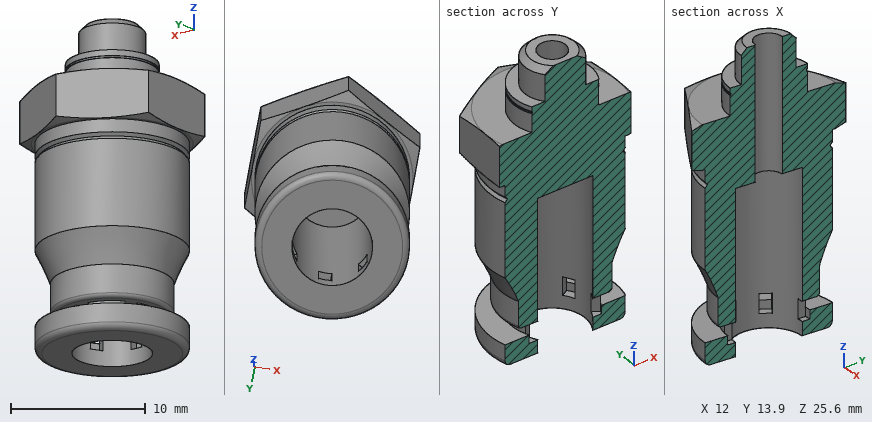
import cadquery as cq
import math

hex_flats = 12.0
hex_corner_radius = hex_flats / math.sqrt(3)
hex_bottom = 16.45
hex_top = 20.33
hex_corner_drop = 0.28

overall_height = 25.6
thread_radius = 5.0 / 2
thread_chamfer = 0.5
thread_bottom = 22.65
seat_radius = 7.0 / 2
seat_groove_bottom = 22.05
seat_groove_top = 22.2
seat_groove_depth = 0.05

body_radius = 11.5 / 2
v_groove_middle = 15.18
v_groove_half_width = 0.25
v_groove_depth = 0.2
taper_top = 8.06
taper_bottom = 5.45
taper_hollow = 0.065
neck_radius = 9.2 / 2
neck_bottom = 2.9
neck_edge = 0.3

flange_radius = body_radius
flange_top = 2.0
flange_fillet = 0.5
collar_radius = 7.37 / 2
slot_count = 6
slot_width = 1.0
slot_floor = flange_top - 0.77

bore_radius = 2.4 / 2
socket_radius = 6.0 / 2
socket_top = 14.08


def cylinder(radius, bottom, top):
    return cq.Workplane("XY").workplane(offset=bottom).circle(radius).extrude(top - bottom)


def make_stem():
    thread = cylinder(thread_radius, thread_bottom, overall_height).faces(">Z").chamfer(thread_chamfer)
    seat = cylinder(seat_radius, hex_top, thread_bottom)
    groove = cylinder(seat_radius, seat_groove_bottom, seat_groove_top).cut(
        cylinder(seat_radius - seat_groove_depth, seat_groove_bottom, seat_groove_top)
    )
    return seat.cut(groove).union(thread)


def make_hexagon():
    """Hexagon with flats facing X and conical chamfers on both ends."""
    prism = (
        cq.Workplane("XY")
        .workplane(offset=hex_bottom)
        .polygon(6, 2 * hex_corner_radius)
        .extrude(hex_top - hex_bottom)
        .rotate((0, 0, 0), (0, 0, 1), 30)
    )
    chamfer_envelope = (
        cq.Workplane("XZ")
        .moveTo(0, hex_bottom)
        .lineTo(hex_flats / 2, hex_bottom)
        .lineTo(hex_corner_radius, hex_bottom + hex_corner_drop)
        .lineTo(hex_corner_radius, hex_top - hex_corner_drop)
        .lineTo(hex_flats / 2, hex_top)
        .lineTo(0, hex_top)
        .close()
        .revolve(360, (0, 0, 0), (0, 1, 0))
    )
    return prism.intersect(chamfer_envelope)


def make_body():
    """Turned body with a V groove, a slightly hollow taper and a neck."""
    taper_mid_radius = (body_radius + neck_radius) / 2 - taper_hollow
    taper_mid_height = (taper_top + taper_bottom) / 2
    return (
        cq.Workplane("XZ")
        .moveTo(0, neck_bottom)
        .lineTo(neck_radius - neck_edge, neck_bottom)
        .radiusArc((neck_radius, neck_bottom + neck_edge), -neck_edge)
        .lineTo(neck_radius, taper_bottom)
        .threePointArc((taper_mid_radius, taper_mid_height), (body_radius, taper_top))
        .lineTo(body_radius, v_groove_middle - v_groove_half_width)
        .lineTo(body_radius - v_groove_depth, v_groove_middle)
        .lineTo(body_radius, v_groove_middle + v_groove_half_width)
        .lineTo(body_radius, hex_bottom)
        .lineTo(0, hex_bottom)
        .close()
        .revolve(360, (0, 0, 0), (0, 1, 0))
    )


def make_collar():
    """Flanged collar with a slotted sleeve; the slots sink into the flange."""
    flange = cylinder(flange_radius, 0, flange_top).faces("<Z").edges().fillet(flange_fillet)
    collar = flange.union(cylinder(collar_radius, flange_top, neck_bottom))
    slot = (
        cq.Workplane("XY")
        .workplane(offset=slot_floor)
        .rect(slot_width, 2 * flange_radius)
        .extrude(neck_bottom - slot_floor)
        .intersect(cylinder(collar_radius, slot_floor, neck_bottom))
    )
    for index in range(slot_count // 2):
        collar = collar.cut(slot.rotate((0, 0, 0), (0, 0, 1), index * 360 / slot_count))
    return collar


outside = make_body().union(make_hexagon()).union(make_stem()).union(make_collar())
tube_socket = cylinder(socket_radius, 0, socket_top)
through_bore = cylinder(bore_radius, 0, overall_height)
result = outside.cut(tube_socket).cut(through_bore)